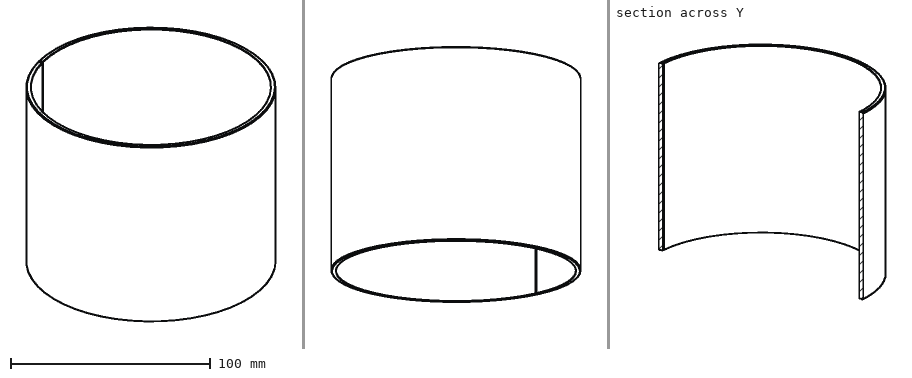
import cadquery as cq

outer_diameter = 125.0
wall_thickness = 2.5
length = 100.0
full_turn = 360.0
slit_angle = 1.0
outer_chamfer = 0.5
inner_chamfer = 0.2

outer_radius = outer_diameter / 2
inner_radius = outer_radius - wall_thickness
half_length = length / 2


def make_wall_section():
    """Wall section on the -X side of the XZ plane, with its four corners chamfered."""
    return (
        cq.Workplane("XZ")
        .moveTo(-inner_radius - inner_chamfer, -half_length)
        .lineTo(-outer_radius + outer_chamfer, -half_length)
        .lineTo(-outer_radius, -half_length + outer_chamfer)
        .lineTo(-outer_radius, half_length - outer_chamfer)
        .lineTo(-outer_radius + outer_chamfer, half_length)
        .lineTo(-inner_radius - inner_chamfer, half_length)
        .lineTo(-inner_radius, half_length - inner_chamfer)
        .lineTo(-inner_radius, -half_length + inner_chamfer)
        .close()
    )


axis_start = (0, 0, 0)
axis_end = (0, 1, 0)
result = make_wall_section().revolve(full_turn - slit_angle, axis_start, axis_end)